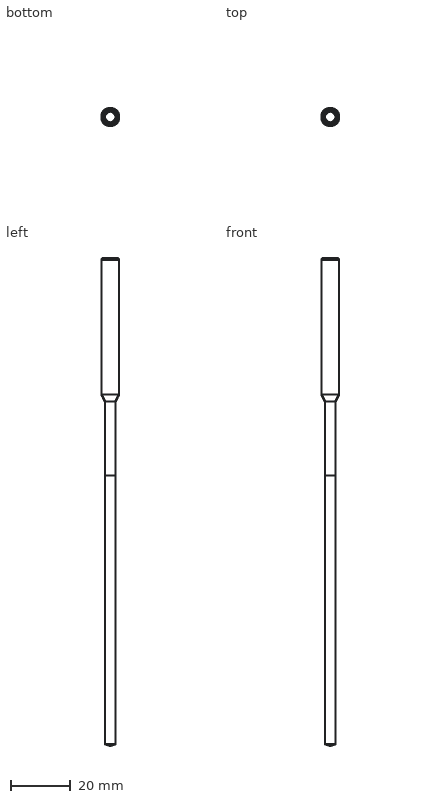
import cadquery as cq
import math

shank_radius = 3.0
drill_radius = 1.8
drill_length = 163.0
point_angle = 140.0
shank_length = 45.7
end_chamfer = 0.6
taper_height = 2.4
cutting_length = 90.0

point_height = drill_radius / math.tan(math.radians(point_angle / 2))

corner_z = point_height
joint_z = corner_z + cutting_length
top_z = corner_z + drill_length
shank_bottom_z = top_z - shank_length
neck_top_z = shank_bottom_z - taper_height


def turned(profile):
    """Revolve a closed (radius, z) profile about Z."""
    return cq.Workplane("XZ").polyline(profile).close().revolve(360, (0, 0), (0, 1))


def make_cutting_part():
    """Lower rod with a conical point and a flat top that meets the neck."""
    return turned([
        (0, 0),
        (drill_radius, corner_z),
        (drill_radius, joint_z),
        (0, joint_z),
    ])


def make_shank():
    """Clamping shank with a chamfered end, tapering down to the neck."""
    return turned([
        (0, joint_z),
        (drill_radius, joint_z),
        (drill_radius, neck_top_z),
        (shank_radius, shank_bottom_z),
        (shank_radius, top_z - end_chamfer),
        (shank_radius - end_chamfer, top_z),
        (0, top_z),
    ])


cutting_part = make_cutting_part()
shank = make_shank()

result = cq.Compound.makeCompound([cutting_part.val(), shank.val()])